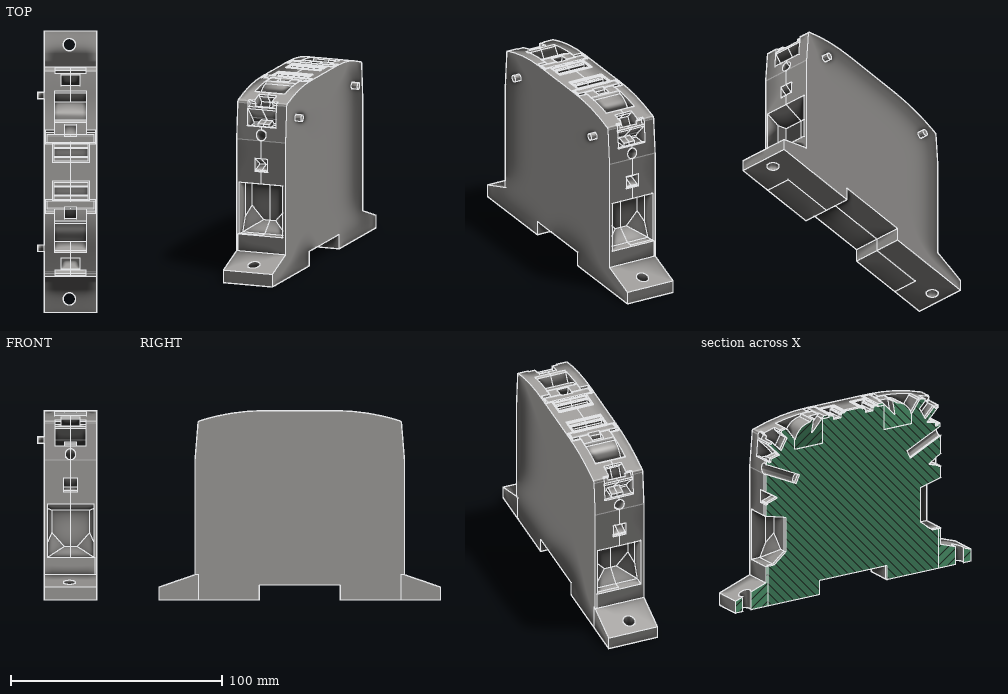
import cadquery as cq
import math


width = 25.0
length = 133.5
height = 89.7
half_width = width / 2
wall_out = 49.6
foot_tip_height = 6.1
foot_root_height = 12.0
wall_kink_height = 66.3
shoulder_out = 48.2
crown_out = 17.0
arch_drop = 5.1
rail_half_length = 19.1
rail_depth = 7.1
shoulder_radius = 1.2

arch_run = shoulder_out - crown_out
arch_radius = (arch_run**2 + arch_drop**2) / (2 * arch_drop)
over_top = height + 6.7
past_wall = wall_out + 2.7

cover_thickness = 0.8
lip_thickness = 1.6
foot_inner_out = wall_out - lip_thickness

mount_out = 60.2
mount_offset = -0.5
mount_diameter = 5.7

funnel_offset = 0.1
funnel_half_width = 11.1
funnel_bottom = 20.1
funnel_top = 45.4
funnel_depth = 11.3
funnel_straight_depth = 8.0
funnel_floor_depth = 4.8
funnel_back_half_width = 9.0
funnel_back_top = 42.6
funnel_corner_height = 31.9
funnel_sill_height = 25.4
funnel_sill_half_width = 3.1

window_width = 6.4
window_bottom = 51.2
window_top = 57.6
window_back_top = 53.5
window_sill_depth = 1.1
window_sill_step = 0.5
window_depth = 6.7

driver_height = 69.1
driver_diameter = 5.0
driver_tilt = 25.0
driver_depth = 20.0
driver_lead = 2.7

grip_width = 14.5
channel_width = 8.8
channel_out = 40.8
channel_roof_height = 85.7
channel_roof_run = 3.2
channel_floor_low = 77.0
channel_floor_high = 82.7
grip_notch_out = 46.6
grip_notch_roof = 84.5
grip_notch_back = 45.2
grip_notch_back_height = 83.1
bar_inner_height = 81.0
bar_tip_out = 48.2
bar_tip_top = 82.2
bar_tip_bottom = 81.1
pocket_bottom = 73.0
pocket_roof_run = 5.5
pocket_back_out = 40.4
pocket_sill_out = 47.9
pocket_floor = 72.0
pocket_block_width = 5.7
pocket_block_out = 46.6
pocket_block_front_height = 73.8
pocket_block_back_height = 74.7

label_inner_out = 4.4
label_outer_out = 13.7
label_low_x = -8.5
label_high_x = 9.0
label_rim_depth = 0.4
label_ledge_depth = 0.8
label_ledge_inset = 0.7
label_step_depth = 1.5
label_step_inset = 2.3
label_trench_depth = 3.0
label_trench_inset = 2.8

lever_width = 15.2
lever_bottom = 76.0
lever_inner_out = 17.6
arm_top_drop = 0.3
bevel_inner_out = 23.4
bevel_middle_out = 23.8
bevel_middle_height = 88.9
bevel_outer_out = 24.5
bevel_outer_height = 88.1
drum_radius = 10.0
drum_centre_out = 23.4
drum_end_out = 33.0
slot_rim_out = 38.3
slot_rim_width = 1.1
slot_rim_drop = 0.5
notch_inner_out = 16.7
notch_outer_out = 22.2
notch_depth = 7.3
notch_undercut = 1.3
notch_width = 5.7

crossbar_width = 22.2
crossbar_inner_out = 13.9
crossbar_depth = 1.3
seat_width = 23.5
seat_inner_out = 13.2
seat_outer_out = 19.7
seat_slope_width = 1.2

pin_out = 36.2
pin_height = 75.8
pin_diameter = 3.2
pin_projection = 3.1
pin_depth = 4.0


def arch_height(out):
    """Height of the housing top at a distance from the middle."""
    rise = max(out - crown_out, 0.0)
    return height - arch_radius + math.sqrt(arch_radius**2 - rise**2)


def prism(outline, low_x, high_x, end):
    """Prism along X from (out, z) points, placed at the end with the given sign of Y."""
    points = [(end * out, z) for out, z in outline]
    return cq.Workplane("YZ").workplane(offset=low_x).polyline(points).close().extrude(high_x - low_x)


def centred_prism(outline, full_width, end):
    """Prism of the given width, centred on the joint plane."""
    return prism(outline, -full_width / 2, full_width / 2, end)


def block(low_x, high_x, low_out, high_out, low_z, high_z, end):
    """Rectangular block between the given limits, at the end with the given sign of Y."""
    outline = [(low_out, low_z), (high_out, low_z), (high_out, high_z), (low_out, high_z)]
    return prism(outline, low_x, high_x, end)


def envelope():
    """Outer shape of the housing: feet, upright walls, arched top and rail notch."""
    shoulder_height = height - arch_drop
    middle_out = crown_out + arch_run / 2
    middle_height = arch_height(middle_out)
    body = (
        cq.Workplane("YZ").workplane(offset=-half_width)
        .moveTo(rail_half_length, 0)
        .lineTo(length / 2, 0)
        .lineTo(length / 2, foot_tip_height)
        .lineTo(wall_out, foot_root_height)
        .lineTo(wall_out, wall_kink_height)
        .lineTo(shoulder_out, shoulder_height)
        .threePointArc((middle_out, middle_height), (crown_out, height))
        .lineTo(-crown_out, height)
        .threePointArc((-middle_out, middle_height), (-shoulder_out, shoulder_height))
        .lineTo(-wall_out, wall_kink_height)
        .lineTo(-wall_out, foot_root_height)
        .lineTo(-length / 2, foot_tip_height)
        .lineTo(-length / 2, 0)
        .lineTo(-rail_half_length, 0)
        .lineTo(-rail_half_length, rail_depth)
        .lineTo(rail_half_length, rail_depth)
        .close()
        .extrude(width)
    )
    for end in (-1, 1):
        shoulder = cq.selectors.NearestToPointSelector((0, end * shoulder_out, shoulder_height))
        body = body.edges("|X").edges(shoulder).fillet(shoulder_radius)
    return body


def mounting_hole(end):
    return (
        cq.Workplane("XY").center(mount_offset, end * mount_out)
        .circle(mount_diameter / 2).extrude(foot_root_height)
    )


def half_space(point, normal):
    """Large box filling the side of a plane that its normal points to."""
    size = 2 * length
    return cq.Workplane(cq.Plane(origin=point, normal=normal)).rect(size, size).extrude(size)


def funnel(end):
    """Rectangular cable mouth whose back narrows to a smaller face with cut lower corners."""
    straight_out = wall_out - funnel_straight_depth
    back_out = wall_out - funnel_depth
    floor_out = wall_out - funnel_floor_depth
    low_x = funnel_offset - funnel_half_width
    high_x = funnel_offset + funnel_half_width
    side_profile = [
        (past_wall, funnel_bottom),
        (floor_out, funnel_bottom),
        (back_out, funnel_sill_height),
        (back_out, funnel_back_top),
        (wall_out, funnel_top),
        (past_wall, funnel_top),
    ]
    cavity = prism(side_profile, low_x, high_x, end)
    for side in (-1, 1):
        wall_corner = cq.Vector(funnel_offset + side * funnel_half_width, end * straight_out, 0)
        back_corner = cq.Vector(
            funnel_offset + side * funnel_back_half_width, end * back_out, funnel_corner_height
        )
        run = back_corner - wall_corner
        side_normal = cq.Vector(side * abs(run.y), -end * abs(run.x), 0)
        cavity = cavity.cut(half_space(back_corner.toTuple(), side_normal.toTuple()))

        sill_corner = cq.Vector(
            funnel_offset + side * funnel_sill_half_width, end * back_out, funnel_sill_height
        )
        floor_corner = cq.Vector(wall_corner.x, end * floor_out, funnel_bottom)
        corner_normal = (back_corner - sill_corner).cross(floor_corner - sill_corner)
        if corner_normal.z > 0:
            corner_normal = corner_normal * -1
        cavity = cavity.cut(half_space(sill_corner.toTuple(), corner_normal.toTuple()))
    return cavity


def window(end):
    """Small wedge-shaped window: its ceiling falls inward to meet the rising floor."""
    back_out = wall_out - window_depth
    outline = [
        (past_wall, window_bottom),
        (wall_out - window_sill_depth, window_bottom),
        (wall_out - window_sill_depth, window_bottom + window_sill_step),
        (back_out, window_back_top),
        (wall_out, window_top),
        (past_wall, window_top),
    ]
    return centred_prism(outline, window_width, end)


def driver_hole(end):
    """Blind round hole running inward and down."""
    tilt = math.radians(driver_tilt)
    inward = cq.Vector(0, -end * math.cos(tilt), -math.sin(tilt))
    mouth = cq.Vector(0, end * wall_out, driver_height)
    start = mouth - inward * driver_lead
    plane = cq.Plane(origin=start.toTuple(), xDir=(1, 0, 0), normal=inward.toTuple())
    return cq.Workplane(plane).circle(driver_diameter / 2).extrude(driver_lead + driver_depth)


def grip(end):
    """Cutter that leaves a leaning grip bar below the shoulder and a small block in the lower pocket."""
    channel_back = channel_out - channel_roof_run
    channel = centred_prism(
        [
            (channel_out, over_top),
            (channel_out, channel_roof_height),
            (channel_back, channel_roof_height - channel_roof_run),
            (channel_out, channel_floor_low),
            (grip_notch_out, channel_floor_high),
            (grip_notch_out, over_top),
        ],
        channel_width, end,
    )
    notch = centred_prism(
        [
            (grip_notch_out, over_top),
            (grip_notch_out, grip_notch_roof),
            (grip_notch_back, grip_notch_back_height),
            (grip_notch_out, bar_inner_height),
            (bar_tip_out, bar_tip_top),
            (past_wall, bar_tip_top),
            (past_wall, over_top),
        ],
        grip_width, end,
    )
    pocket_roof_back = bar_tip_out - pocket_roof_run
    pocket = centred_prism(
        [
            (past_wall, bar_tip_top),
            (bar_tip_out, bar_tip_top),
            (bar_tip_out, bar_tip_bottom),
            (pocket_roof_back, bar_tip_bottom - pocket_roof_run),
            (pocket_back_out, pocket_bottom),
            (pocket_back_out, pocket_floor),
            (pocket_sill_out, pocket_floor),
            (pocket_sill_out, pocket_bottom),
            (past_wall, pocket_bottom),
        ],
        grip_width, end,
    )
    pocket_block = centred_prism(
        [
            (pocket_back_out, pocket_floor),
            (pocket_block_out, pocket_floor),
            (pocket_block_out, pocket_block_front_height),
            (pocket_roof_back, pocket_block_back_height),
            (pocket_back_out, pocket_block_back_height),
        ],
        pocket_block_width, end,
    )
    return channel.union(notch).union(pocket.cut(pocket_block))


def label_recess(end):
    """Stepped recess: a rim, a ledge, and a trench with a step along its long edges."""
    recess = block(label_low_x, label_high_x, label_inner_out, label_outer_out,
                   height - label_rim_depth, over_top, end)
    levels = [
        (label_ledge_inset, label_ledge_depth),
        (label_step_inset, label_step_depth),
        (label_trench_inset, label_trench_depth),
    ]
    for inset, depth in levels:
        recess = recess.union(
            block(label_low_x + label_ledge_inset, label_high_x - label_ledge_inset,
                  label_inner_out + inset, label_outer_out - inset, height - depth, over_top, end)
        )
    return recess


bevel_foot_angle = math.asin((bevel_outer_out - drum_centre_out) / drum_radius)
drum_centre_height = bevel_outer_height - drum_radius * math.cos(bevel_foot_angle)


def drum_height(out):
    """Height of the drum surface at a distance from the middle."""
    return drum_centre_height + math.sqrt(drum_radius**2 - (out - drum_centre_out) ** 2)


def lever_slot(end):
    """Opening for the lever; its outer wall slopes up to the rim."""
    slot = centred_prism(
        [
            (lever_inner_out, lever_bottom),
            (drum_end_out, lever_bottom),
            (drum_end_out, drum_height(drum_end_out)),
            (slot_rim_out - slot_rim_width, arch_height(slot_rim_out) - slot_rim_drop),
            (slot_rim_out, arch_height(slot_rim_out)),
            (slot_rim_out, over_top),
            (lever_inner_out, over_top),
        ],
        lever_width, end,
    )
    seat_floor = height - crossbar_depth
    seat = centred_prism(
        [
            (crossbar_inner_out, seat_floor),
            (seat_outer_out - seat_slope_width, seat_floor),
            (seat_outer_out, arch_height(seat_outer_out)),
            (seat_outer_out, over_top),
            (seat_inner_out, over_top),
            (seat_inner_out, height),
        ],
        seat_width, end,
    )
    return slot.union(seat)


def lever(end, outer_shape):
    """Drum-shaped lever with a crossbar at its inner edge and a finger notch."""
    drum_middle = (bevel_outer_out + drum_end_out) / 2
    arm = (
        cq.Workplane("YZ").workplane(offset=-lever_width / 2)
        .moveTo(end * lever_inner_out, lever_bottom)
        .lineTo(end * lever_inner_out, over_top)
        .lineTo(end * bevel_inner_out, over_top)
        .lineTo(end * bevel_inner_out, arch_height(bevel_inner_out) - arm_top_drop)
        .lineTo(end * bevel_middle_out, bevel_middle_height)
        .lineTo(end * bevel_outer_out, bevel_outer_height)
        .threePointArc(
            (end * drum_middle, drum_height(drum_middle)),
            (end * drum_end_out, drum_height(drum_end_out)),
        )
        .lineTo(end * drum_end_out, lever_bottom)
        .close()
        .extrude(lever_width)
    )
    crossbar = block(-crossbar_width / 2, crossbar_width / 2, crossbar_inner_out, lever_inner_out,
                     height - crossbar_depth, over_top, end)
    notch = centred_prism(
        [
            (notch_inner_out, height),
            (notch_outer_out + notch_undercut, height - notch_depth),
            (notch_outer_out, height),
            (notch_outer_out, over_top),
            (notch_inner_out, over_top),
        ],
        notch_width, end,
    )
    arm = arm.intersect(outer_shape.translate((0, 0, -arm_top_drop)))
    crossbar = crossbar.intersect(outer_shape)
    return arm.union(crossbar).cut(notch)


def pin(end):
    """Round pin seated in the -X wall and standing out of it."""
    return (
        cq.Workplane("YZ").workplane(offset=-half_width - pin_projection)
        .center(end * pin_out, pin_height)
        .circle(pin_diameter / 2).extrude(pin_projection + pin_depth)
    )


def base_shell_zone():
    """Space of the base shell: the -X half, both feet and the lips below the funnels."""
    reach = length
    zone = cq.Workplane("XY").box(width, 2 * reach, 2 * reach).translate((-half_width, 0, 0))
    for end in (-1, 1):
        zone = zone.union(block(0, width, foot_inner_out, reach, 0, foot_root_height, end))
        zone = zone.union(block(0, half_width - cover_thickness, foot_inner_out, reach,
                                foot_root_height, funnel_bottom, end))
    return zone


ends = (-1, 1)
outer_shape = envelope()
pins = [pin(end) for end in ends]
levers = [lever(end, outer_shape) for end in ends]

housing = outer_shape
for end in ends:
    for cutter in (mounting_hole, funnel, window, driver_hole, grip, label_recess, lever_slot, pin):
        housing = housing.cut(cutter(end))

shell_zone = base_shell_zone()
base_shell = housing.intersect(shell_zone)
cover_shell = housing.cut(shell_zone)

bodies = [base_shell, cover_shell, *levers, *pins]
result = cq.Compound.makeCompound([body.solids().val() for body in bodies])